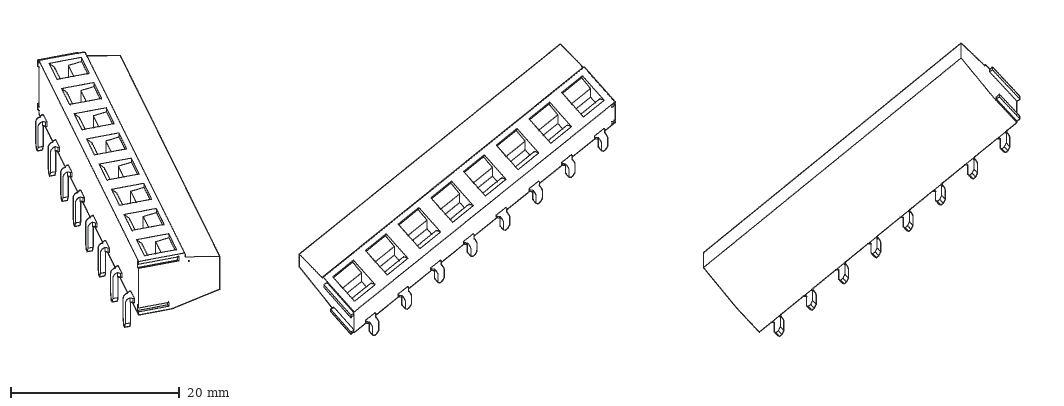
import cadquery as cq


pole_count = 8
total_length = 41.15
total_height = 11.4
tongue_projection = 0.5
pip_projection = 0.1
body_length = total_length - tongue_projection - pip_projection
pitch = 5.08
first_pole_x = (body_length - (pole_count - 1) * pitch) / 2

body_depth = 10.08
body_height = 8.05
ledge_depth = 5.8
ledge_foot_z = 7.45
ledge_edge_radius = 0.33
back_top_z = 6.55
back_bottom_z = 1.6
underside_depth = 4.1

upper_dovetail = (4.98, 7.05, 7.65, 6.8, 7.78)
lower_dovetail = (3.75, 0.5, 1.05, 0.33, 1.25)

pip_radius = 0.05
pip_y = 6.2
pip_z = 6.75

window_width = 3.2
window_front_y = 1.0
window_back_y = 4.98
well_width = 2.95
well_front_y = 1.6
well_depth = 4.1
lead_in_depth = 0.6
clamp_front_y = 3.35
clamp_back_depth = 0.55
clamp_front_depth = 0.75

pin_width = 1.0
pin_thickness = 0.65
pin_reach = 1.03
pin_top_z = 1.25
pin_bottom_z = total_height - body_height
pin_bend_inner_radius = 0.1
pin_bend_outer_radius = pin_bend_inner_radius + pin_thickness
pin_tip_length = 0.8
pin_tip_width = 0.35
pin_embed = 0.4
shoulder_width = 1.52
shoulder_straight = 0.15
shoulder_end = 0.45


def make_body():
    """Extrude the side profile along the row and round the edge above the ledge."""
    profile = [
        (0, 0),
        (underside_depth, 0),
        (body_depth, back_bottom_z),
        (body_depth, back_top_z),
        (ledge_depth, ledge_foot_z),
        (ledge_depth, body_height),
        (0, body_height),
    ]
    body = cq.Workplane("YZ").polyline(profile).close().extrude(body_length)
    ledge_edge = cq.selectors.NearestToPointSelector((body_length / 2, ledge_depth, body_height))
    return body.edges(ledge_edge).fillet(ledge_edge_radius)


def make_dovetail(dovetail, root_x):
    """Dovetail bar that widens towards -X, starting at the given root plane."""
    length, root_bottom, root_top, tip_bottom, tip_top = dovetail
    tip_x = root_x - tongue_projection
    outline = [(root_x, root_bottom), (root_x, root_top), (tip_x, tip_top), (tip_x, tip_bottom)]
    return cq.Workplane("XZ").polyline(outline).close().extrude(-length)


def make_window(center_x):
    """Flared window and well, less the clamp that stands at the back of the well."""
    lead_in = (
        cq.Workplane("XY", origin=(center_x, 0, body_height))
        .center(0, (window_front_y + window_back_y) / 2)
        .rect(window_width, window_back_y - window_front_y)
        .workplane(offset=-lead_in_depth)
        .center(0, (well_front_y - window_front_y) / 2)
        .rect(well_width, window_back_y - well_front_y)
        .loft()
    )
    well = cq.Workplane("XY").box(
        well_width, window_back_y - well_front_y, well_depth, centered=(True, False, False)
    ).translate((center_x, well_front_y, body_height - well_depth))
    clamp_profile = [
        (clamp_front_y, body_height - well_depth),
        (window_back_y, body_height - well_depth),
        (window_back_y, body_height - clamp_back_depth),
        (clamp_front_y, body_height - clamp_front_depth),
    ]
    clamp = (
        cq.Workplane("YZ", origin=(center_x - window_width / 2, 0, 0))
        .polyline(clamp_profile)
        .close()
        .extrude(window_width)
    )
    return lead_in.union(well).cut(clamp)


def make_bent_strip(width):
    """Strip of the given width, out of the front face and bent down, centred on X = 0."""
    bend_z = pin_top_z - pin_bend_outer_radius
    bend_y = pin_bend_outer_radius - pin_reach
    leg_back_y = pin_thickness - pin_reach
    return (
        cq.Workplane("YZ", origin=(-width / 2, 0, 0))
        .moveTo(pin_embed, pin_top_z)
        .lineTo(bend_y, pin_top_z)
        .radiusArc((-pin_reach, bend_z), -pin_bend_outer_radius)
        .lineTo(-pin_reach, -pin_bottom_z)
        .lineTo(leg_back_y, -pin_bottom_z)
        .lineTo(leg_back_y, bend_z)
        .radiusArc((bend_y, pin_top_z - pin_thickness), pin_bend_inner_radius)
        .lineTo(pin_embed, pin_top_z - pin_thickness)
        .close()
        .extrude(width)
    )


def make_pin():
    """Bent pin with a tapered tip and a wider shoulder against the body."""
    taper_z = pin_tip_length - pin_bottom_z
    front_outline = [
        (-pin_width / 2, pin_top_z),
        (-pin_width / 2, taper_z),
        (-pin_tip_width / 2, -pin_bottom_z),
        (pin_tip_width / 2, -pin_bottom_z),
        (pin_width / 2, taper_z),
        (pin_width / 2, pin_top_z),
    ]
    front_envelope = (
        cq.Workplane("XZ", origin=(0, pin_embed, 0))
        .polyline(front_outline)
        .close()
        .extrude(pin_embed + pin_reach)
    )
    shoulder_plan = [
        (-shoulder_width / 2, pin_embed),
        (-shoulder_width / 2, -shoulder_straight),
        (-pin_width / 2, -shoulder_end),
        (pin_width / 2, -shoulder_end),
        (shoulder_width / 2, -shoulder_straight),
        (shoulder_width / 2, pin_embed),
    ]
    shoulder_envelope = (
        cq.Workplane("XY", origin=(0, 0, pin_top_z - pin_thickness))
        .polyline(shoulder_plan)
        .close()
        .extrude(pin_thickness)
    )
    leg = make_bent_strip(pin_width).intersect(front_envelope)
    shoulder = make_bent_strip(shoulder_width).intersect(shoulder_envelope)
    return leg.union(shoulder)


result = make_body()

for dovetail in (upper_dovetail, lower_dovetail):
    result = result.union(make_dovetail(dovetail, 0))
    result = result.cut(make_dovetail(dovetail, body_length))

pip = cq.Workplane("YZ", origin=(body_length, pip_y, pip_z)).circle(pip_radius).extrude(pip_projection)
result = result.union(pip)

pin = make_pin()
for pole in range(pole_count):
    pole_x = first_pole_x + pole * pitch
    result = result.cut(make_window(pole_x))
    result = result.union(pin.translate((pole_x, 0, 0)))